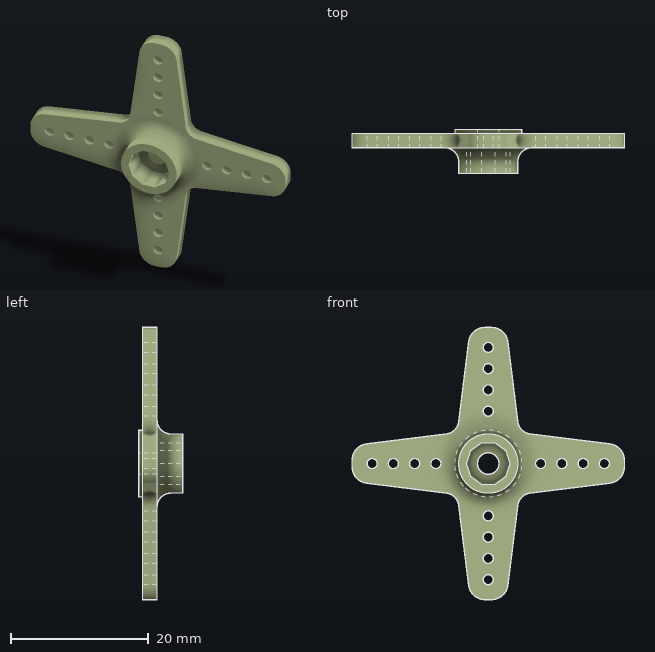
import cadquery as cq
import math

span = 39.6
tip = span / 2
arm_count = 4
tip_half_width = 2.6
root_corner = 4.5
tip_radius = 2.45
root_radius = 1.98
plate_thickness = 2.15

hub_radius = 4.3
hub_height = 3.72
flare_radius = 1.98
back_boss_radius = 4.87
back_boss_height = 0.55

socket_sides = 10
socket_diameter = 6.35
bore_diameter = 3.1

hole_diameter = 1.43
first_hole = 7.6
hole_pitch = 3.1
holes_per_arm = 4

hub_face = -hub_height
back_face = plate_thickness + back_boss_height


def turned(x, z, turn):
    """Turn a point about the hub by a number of arm steps."""
    angle = 2 * math.pi * turn / arm_count
    return (
        x * math.cos(angle) - z * math.sin(angle),
        x * math.sin(angle) + z * math.cos(angle),
    )


def plane_at(y):
    """Sketch plane at depth y, with X right, Z up and its normal toward -Y."""
    return cq.Workplane("XZ", origin=(0, y, 0))


def make_plate():
    outline = []
    tip_corners = []
    root_corners = []
    for turn in range(arm_count):
        right = turned(tip, -tip_half_width, turn)
        left = turned(tip, tip_half_width, turn)
        root = turned(root_corner, root_corner, turn)
        outline += [right, left, root]
        tip_corners += [right, left]
        root_corners.append(root)
    plate = plane_at(plate_thickness).polyline(outline).close().extrude(plate_thickness)
    plate = round_corners(plate, tip_corners, tip_radius)
    return round_corners(plate, root_corners, root_radius)


def round_corners(plate, corners, radius):
    """Round the plate edges that run along Y through the given corners."""
    picked = [
        min(
            plate.edges("|Y").vals(),
            key=lambda edge: math.hypot(edge.Center().x - x, edge.Center().z - z),
        )
        for x, z in corners
    ]
    return plate.newObject(picked).fillet(radius)


def make_hub():
    """Turned hub: straight collar, concave flare onto the plate, low boss behind."""
    flare_outer = hub_radius + flare_radius
    arc_offset = flare_radius * (1 - math.sqrt(0.5))
    return (
        cq.Workplane("XY")
        .moveTo(0, hub_face)
        .lineTo(hub_radius, hub_face)
        .lineTo(hub_radius, -flare_radius)
        .threePointArc((hub_radius + arc_offset, -arc_offset), (flare_outer, 0))
        .lineTo(back_boss_radius, 0)
        .lineTo(back_boss_radius, back_face)
        .lineTo(0, back_face)
        .close()
        .revolve(360, (0, 0, 0), (0, 1, 0))
    )


def make_socket():
    """Ten-sided recess reaching through the hub as far as the plate's front face."""
    return plane_at(0).polygon(socket_sides, socket_diameter).extrude(hub_height)


def make_bore():
    return plane_at(back_face).circle(bore_diameter / 2).extrude(back_face - hub_face)


def make_arm_holes():
    centers = [
        turned(first_hole + step * hole_pitch, 0, turn)
        for turn in range(arm_count)
        for step in range(holes_per_arm)
    ]
    return (
        plane_at(plate_thickness)
        .pushPoints(centers)
        .circle(hole_diameter / 2)
        .extrude(plate_thickness)
    )


body = make_plate().union(make_hub())
result = body.cut(make_socket()).cut(make_bore()).cut(make_arm_holes())